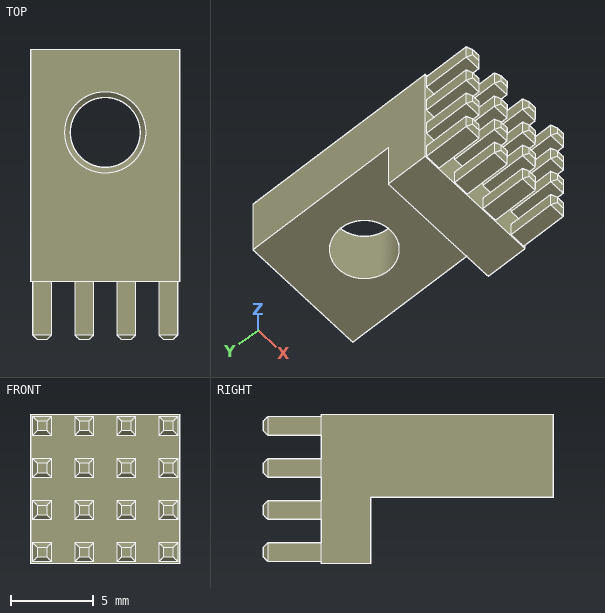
import cadquery as cq

width = 9.0
height = 9.0
body_length = 14.0
arm_thickness = 5.0
foot_length = 3.0

total_length = 17.5
pin_length = total_length - body_length
pin_count = 4
pin_pitch = 2.54
pin_side = 1.14
tip_length = 0.28
tip_inset = 0.28

hole_diameter = 4.2
countersink_diameter = 4.9
countersink_angle = 90.0
hole_from_back = 5.0


def make_body():
    """L-shaped side outline with its pin face at Y = 0, extruded across X."""
    outline = [
        (0, -height / 2),
        (0, height / 2),
        (body_length, height / 2),
        (body_length, height / 2 - arm_thickness),
        (foot_length, height / 2 - arm_thickness),
        (foot_length, -height / 2),
    ]
    return cq.Workplane("YZ").polyline(outline).close().extrude(width / 2, both=True)


def cut_mounting_hole(body):
    return (
        body.faces(">Z")
        .workplane(origin=(0, body_length - hole_from_back, 0))
        .cskHole(hole_diameter, countersink_diameter, countersink_angle)
    )


def make_pin(x, z):
    """Pin pointing toward -Y from the pin face, centred at (x, z)."""
    shank_length = pin_length - tip_length
    tip_side = pin_side - 2 * tip_inset
    shank = cq.Workplane("XZ", origin=(x, 0, z)).rect(pin_side, pin_side).extrude(shank_length)
    tip = (
        cq.Workplane("XZ", origin=(x, -shank_length, z))
        .rect(pin_side, pin_side)
        .workplane(offset=tip_length)
        .rect(tip_side, tip_side)
        .loft(ruled=True)
    )
    return shank.union(tip)


result = cut_mounting_hole(make_body())
pin_offsets = [(i - (pin_count - 1) / 2) * pin_pitch for i in range(pin_count)]
for pin_x in pin_offsets:
    for pin_z in pin_offsets:
        result = result.union(make_pin(pin_x, pin_z))